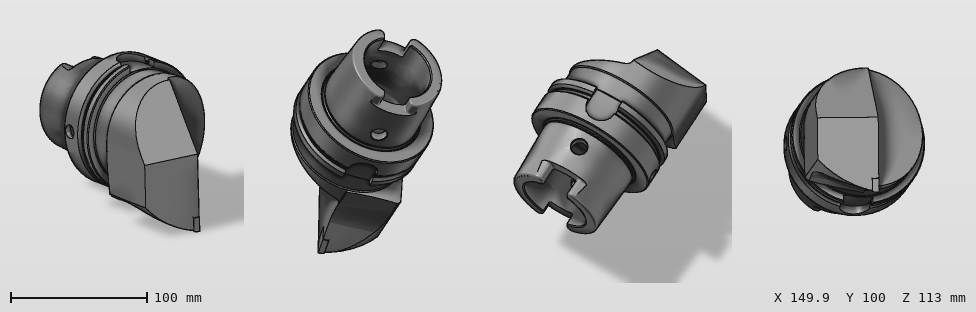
import cadquery as cq
import math


SHANK_LENGTH = 50.0
TAPER_START = 2.5
TAPER_RADIUS = 37.9
TAPER_SLOPE = 1 / 20
NOSE_ROUND = 1.8
NECK_RADIUS = 37.5
NECK_START = 1.6
NECK_END = 0.6
FACE_RECESS_RADIUS = 39.9
FACE_RECESS_DEPTH = 0.5

MOUTH_CHAMFER = 0.9
BORE_RADIUS = 26.4
BORE_DEPTH = 19.8
CLAMP_RADIUS = 30.9
CLAMP_START_X = -10.6
CLAMP_ROUND = 5.7
CAVITY_FLOOR_X = 9.0
THREAD_BORE_RADIUS = 11.4
THREAD_BORE_DEPTH = 19.5
THREAD_CHAMFER = 0.7
COOLANT_RADIUS = 6.0
DRILL_POINT_ANGLE = 118

SLOT_WIDTH = 20.1
TOP_SLOT_DEPTH = 15.3
BOTTOM_SLOT_DEPTH = 10.0
SLOT_EDGE_ROUND = 3.9
SLOT_FLOOR_ROUND = 1.6
SLOT_LIP_Z = 32.1
SLOT_LIP_SLOPE = 15

CROSS_HOLE_X = -14.8
CROSS_HOLE_RADIUS = 6.0
CROSS_HOLE_CHAMFER = 0.5

FLANGE_RADIUS = 49.99
FLANGE_LENGTH = 29.0
FLANGE_CHAMFER = 0.7
GROOVE_START = 16.6
GROOVE_END = 23.5
GROOVE_FLANK_WIDTH = 1.6
GROOVE_FLANK_DEPTH = 2.4
GROOVE_RADIUS = 46.2
GROOVE_ROUND = 0.6
KEYWAY_WIDTH = 22.0
KEYWAY_START = 5.0
KEYWAY_FLOOR = 43.9
CHIP_HOLE_X = 7.0
CHIP_HOLE_RADIUS = 5.1
CHIP_HOLE_DEPTH = 4.6

COLLAR_RADIUS = 43.6
COLLAR_ROOT_ROUND = 0.9
HEAD_START = 45.0
HEAD_RADIUS = 44.5

INSERT_TIP_X = 149.9 - SHANK_LENGTH
INSERT_TIP_Z = -(113.0 - FLANGE_RADIUS)
INSERT_EDGE = 11.5
INSERT_THICKNESS = 4.8
INSERT_ANGLE = 55
NOSE_RADIUS = 0.4
LEAD_ANGLE = 93
RELIEF_ANGLE = 7

SHOULDER_ANGLE = 15
BACK_FACE_X = 58.2
BACK_FACE_ROUND = 5.5
SLANT_TOP_X = 62.7
SLANT_END_X = 97.0
SLANT_END_Z = -4.0
HEAD_BOTTOM_Z = -46.2
RELIEF_ARC_RADIUS = 27.0
CLEARANCE_RADIUS = 75.0
CLEARANCE_Y = 11.4
CLEARANCE_Z = 11.5


def direction(angle):
    """Unit step in the X-Z plane at an angle measured from +X towards +Z."""
    return math.cos(math.radians(angle)), math.sin(math.radians(angle))


def x_cylinder(radius, x_start, x_end, y=0, z=0):
    return cq.Workplane("YZ", origin=(x_start, y, z)).circle(radius).extrude(x_end - x_start)


def tapered_prism(outline, depth):
    """Outline on the plane y = 0 carried towards -Y, its sides leaning in by the relief angle."""
    return outline.close().extrude(depth, taper=RELIEF_ANGLE)


def turned_body():
    tip_radius = TAPER_RADIUS - (SHANK_LENGTH - TAPER_START) * TAPER_SLOPE
    flank_radius = FLANGE_RADIUS - GROOVE_FLANK_DEPTH
    groove_floor_start = GROOVE_START + GROOVE_FLANK_WIDTH
    groove_floor_end = GROOVE_END - GROOVE_FLANK_WIDTH
    root = FLANGE_LENGTH + COLLAR_ROOT_ROUND
    head_step = HEAD_RADIUS - COLLAR_RADIUS
    points = [
        (-SHANK_LENGTH, 0),
        (-SHANK_LENGTH, tip_radius),
        (-TAPER_START, TAPER_RADIUS),
        (-NECK_START, NECK_RADIUS),
        (-NECK_END, NECK_RADIUS),
        (FACE_RECESS_DEPTH, NECK_RADIUS + NECK_END + FACE_RECESS_DEPTH),
        (FACE_RECESS_DEPTH, FACE_RECESS_RADIUS - FACE_RECESS_DEPTH),
        (0, FACE_RECESS_RADIUS),
        (0, FLANGE_RADIUS - FLANGE_CHAMFER),
        (FLANGE_CHAMFER, FLANGE_RADIUS),
        (GROOVE_START, FLANGE_RADIUS),
        (groove_floor_start, flank_radius),
        (groove_floor_start, GROOVE_RADIUS + GROOVE_ROUND),
        (groove_floor_start + GROOVE_ROUND, GROOVE_RADIUS),
        (groove_floor_end - GROOVE_ROUND, GROOVE_RADIUS),
        (groove_floor_end, GROOVE_RADIUS + GROOVE_ROUND),
        (groove_floor_end, flank_radius),
        (GROOVE_END, FLANGE_RADIUS),
        (FLANGE_LENGTH - FLANGE_CHAMFER, FLANGE_RADIUS),
        (FLANGE_LENGTH, FLANGE_RADIUS - FLANGE_CHAMFER),
        (FLANGE_LENGTH, COLLAR_RADIUS + COLLAR_ROOT_ROUND),
        (root, COLLAR_RADIUS),
        (HEAD_START - head_step, COLLAR_RADIUS),
        (HEAD_START, HEAD_RADIUS),
        (HEAD_START, 0),
    ]
    return cq.Workplane("XY").polyline(points).close().revolve(360, (0, 0, 0), (1, 0, 0))


def slot_cutter(depth):
    """Slot open at the nose and outwards (+Z), its walls flaring out to the taper."""
    half = SLOT_WIDTH / 2
    outer = TAPER_RADIUS + NOSE_ROUND
    slope = math.radians(SLOT_LIP_SLOPE)
    arc_start_z = SLOT_LIP_Z - SLOT_EDGE_ROUND
    lip_y = half + SLOT_EDGE_ROUND * (1 + math.sin(slope))
    lip_z = arc_start_z + SLOT_EDGE_ROUND * math.cos(slope)
    lip_end_z = lip_z - (outer - lip_y) * math.tan(slope)
    outline = (
        cq.Workplane("YZ", origin=(-SHANK_LENGTH, 0, 0))
        .moveTo(-half, 0)
        .lineTo(half, 0)
        .lineTo(half, arc_start_z)
        .radiusArc((lip_y, lip_z), SLOT_EDGE_ROUND)
        .lineTo(outer, lip_end_z)
        .lineTo(outer, outer)
        .lineTo(-outer, outer)
        .lineTo(-outer, lip_end_z)
        .lineTo(-lip_y, lip_z)
        .radiusArc((-half, arc_start_z), SLOT_EDGE_ROUND)
        .close()
    )
    cutter = outline.extrude(depth)
    return cutter.faces(">X").edges("not(<Z or >Z)").fillet(SLOT_FLOOR_ROUND)


def cut_driving_slots(body):
    bottom = slot_cutter(BOTTOM_SLOT_DEPTH).rotate((0, 0, 0), (1, 0, 0), 180)
    return body.cut(slot_cutter(TOP_SLOT_DEPTH)).cut(bottom)


def cavity():
    mouth = -SHANK_LENGTH
    thread_end = CAVITY_FLOOR_X + THREAD_BORE_DEPTH
    point_length = COOLANT_RADIUS / math.tan(math.radians(DRILL_POINT_ANGLE / 2))
    bore_points = [
        (mouth, 0),
        (mouth, BORE_RADIUS + MOUTH_CHAMFER),
        (mouth + MOUTH_CHAMFER, BORE_RADIUS),
        (mouth + BORE_DEPTH, BORE_RADIUS),
        (CLAMP_START_X, CLAMP_RADIUS),
        (CAVITY_FLOOR_X - CLAMP_ROUND, CLAMP_RADIUS),
    ]
    floor_edge = (CAVITY_FLOOR_X, CLAMP_RADIUS - CLAMP_ROUND)
    floor_points = [
        (CAVITY_FLOOR_X, THREAD_BORE_RADIUS + THREAD_CHAMFER),
        (CAVITY_FLOOR_X + THREAD_CHAMFER, THREAD_BORE_RADIUS),
        (thread_end, THREAD_BORE_RADIUS),
        (thread_end, COOLANT_RADIUS),
        (thread_end + point_length, 0),
    ]
    return (
        cq.Workplane("XY")
        .polyline(bore_points)
        .radiusArc(floor_edge, CLAMP_ROUND)
        .polyline(floor_points, includeCurrent=True)
        .close()
        .revolve(360, (0, 0, 0), (1, 0, 0))
    )


def round_nose(body):
    """Round the outer rim and slot edges of the open end, before the bore is cut."""
    return body.faces("<X").edges().fillet(NOSE_ROUND)


def cut_cross_hole(body):
    hole = (
        cq.Workplane("XY", origin=(CROSS_HOLE_X, 0, -TAPER_RADIUS))
        .circle(CROSS_HOLE_RADIUS)
        .extrude(2 * TAPER_RADIUS)
    )
    mouths = cq.selectors.BoxSelector(
        (CROSS_HOLE_X - TAPER_START - CROSS_HOLE_RADIUS, -SLOT_WIDTH, -TAPER_RADIUS),
        (CROSS_HOLE_X + TAPER_START + CROSS_HOLE_RADIUS, SLOT_WIDTH, TAPER_RADIUS),
        boundingbox=True,
    )
    return body.cut(hole).edges(mouths).edges("not %LINE").chamfer(CROSS_HOLE_CHAMFER)


def cut_keyways(body):
    round_end = KEYWAY_START + KEYWAY_WIDTH / 2
    length = FLANGE_LENGTH - round_end
    keyway = (
        cq.Workplane("XY", origin=(round_end, 0, KEYWAY_FLOOR))
        .circle(KEYWAY_WIDTH / 2)
        .extrude(FLANGE_RADIUS)
        .union(
            cq.Workplane("XY")
            .box(length, KEYWAY_WIDTH, FLANGE_RADIUS, centered=(False, True, False))
            .translate((round_end, 0, KEYWAY_FLOOR))
        )
    )
    return body.cut(keyway).cut(keyway.rotate((0, 0, 0), (1, 0, 0), 180))


def cut_chip_hole(body):
    hole = (
        cq.Workplane("XZ", origin=(CHIP_HOLE_X, CHIP_HOLE_DEPTH - FLANGE_RADIUS, 0))
        .circle(CHIP_HOLE_RADIUS)
        .extrude(FLANGE_RADIUS)
    )
    return body.cut(hole)


def nose_centre():
    return INSERT_TIP_X - NOSE_RADIUS, INSERT_TIP_Z + NOSE_RADIUS


def make_insert():
    centre_x, centre_z = nose_centre()
    up_x, up_z = direction(LEAD_ANGLE)
    back_x, back_z = direction(LEAD_ANGLE + INSERT_ANGLE)
    reach = NOSE_RADIUS / math.sin(math.radians(INSERT_ANGLE / 2))
    mid_x, mid_z = direction(LEAD_ANGLE + INSERT_ANGLE / 2)
    corner = cq.Vector(centre_x - reach * mid_x, centre_z - reach * mid_z)
    end_edge = cq.Vector(up_x, up_z) * INSERT_EDGE
    side_edge = cq.Vector(back_x, back_z) * INSERT_EDGE
    tangent = NOSE_RADIUS / math.tan(math.radians(INSERT_ANGLE / 2))
    nose_start = corner + side_edge * (tangent / INSERT_EDGE)
    nose_end = corner + end_edge * (tangent / INSERT_EDGE)
    nose_middle = (centre_x - NOSE_RADIUS * mid_x, centre_z - NOSE_RADIUS * mid_z)
    outline = (
        cq.Workplane("XZ")
        .moveTo(nose_start.x, nose_start.y)
        .threePointArc(nose_middle, (nose_end.x, nose_end.y))
        .lineTo((corner + end_edge).x, (corner + end_edge).y)
        .lineTo((corner + end_edge + side_edge).x, (corner + end_edge + side_edge).y)
        .lineTo((corner + side_edge).x, (corner + side_edge).y)
    )
    return tapered_prism(outline, INSERT_THICKNESS)


def head_relief():
    """Everything inside the slanted top, end face and underside of the cutting region."""
    tip_x, tip_z = nose_centre()
    edge_slope = 180 - LEAD_ANGLE - INSERT_ANGLE
    slope_x, slope_z = direction(-edge_slope)
    highest_z = HEAD_BOTTOM_Z + 0.6
    centre_z = highest_z - RELIEF_ARC_RADIUS
    touch_z = centre_z + RELIEF_ARC_RADIUS * slope_x
    touch_x = tip_x - (touch_z - tip_z) * slope_x / -slope_z
    centre_x = touch_x + RELIEF_ARC_RADIUS * slope_z
    hollow_start = centre_x - math.sqrt(RELIEF_ARC_RADIUS ** 2 - (HEAD_BOTTOM_Z - centre_z) ** 2)
    inner_x = HEAD_START - HEAD_RADIUS / 2
    slant = (HEAD_RADIUS - SLANT_END_Z) / (SLANT_END_X - SLANT_TOP_X)
    top_z = 1.5 * HEAD_RADIUS
    top_x = SLANT_TOP_X - (top_z - HEAD_RADIUS) / slant
    outline = (
        cq.Workplane("XZ")
        .moveTo(inner_x, HEAD_BOTTOM_Z)
        .lineTo(hollow_start, HEAD_BOTTOM_Z)
        .threePointArc((centre_x, highest_z), (touch_x, touch_z))
        .lineTo(tip_x, tip_z)
        .lineTo(SLANT_END_X, SLANT_END_Z)
        .lineTo(top_x, top_z)
        .lineTo(inner_x, top_z)
    )
    return tapered_prism(outline, HEAD_RADIUS)


def front_half_of_head():
    """The part of the head on the -Y side of the rake plane."""
    round_stock = x_cylinder(HEAD_RADIUS, HEAD_START, INSERT_TIP_X)
    cone_radius = 2 * HEAD_RADIUS
    cone_length = (cone_radius - HEAD_RADIUS) * math.tan(math.radians(SHOULDER_ANGLE))
    shoulder_stock = (
        cq.Workplane("XY")
        .polyline(
            [
                (HEAD_START, 0),
                (HEAD_START, HEAD_RADIUS),
                (HEAD_START + cone_length, cone_radius),
                (INSERT_TIP_X, cone_radius),
                (INSERT_TIP_X, 0),
            ]
        )
        .close()
        .revolve(360, (0, 0, 0), (1, 0, 0))
    )
    flat_side = (
        cq.Workplane("XY")
        .box(INSERT_TIP_X, HEAD_RADIUS, cone_radius, centered=False)
        .translate((0, -HEAD_RADIUS, -cone_radius))
    )
    clearance = x_cylinder(CLEARANCE_RADIUS, 0, INSERT_TIP_X, CLEARANCE_Y, CLEARANCE_Z)
    lower_stock = shoulder_stock.intersect(flat_side).intersect(clearance)
    return round_stock.union(lower_stock).intersect(head_relief())


def back_half_of_head():
    """The part of the head on the +Y side, running out in a sloping shoulder."""
    slope = math.tan(math.radians(SHOULDER_ANGLE))
    tangent = BACK_FACE_ROUND * math.tan(math.radians((90 - SHOULDER_ANGLE) / 2))
    round_end_x = BACK_FACE_X + tangent
    round_start = (
        BACK_FACE_X - tangent * math.sin(math.radians(SHOULDER_ANGLE)),
        tangent * math.cos(math.radians(SHOULDER_ANGLE)),
    )
    shoulder = (
        cq.Workplane("XY", origin=(0, 0, -HEAD_RADIUS))
        .moveTo(HEAD_START, 0)
        .lineTo(round_end_x, 0)
        .radiusArc(round_start, BACK_FACE_ROUND)
        .lineTo(BACK_FACE_X - HEAD_RADIUS * slope, HEAD_RADIUS)
        .lineTo(HEAD_START, HEAD_RADIUS)
        .close()
        .extrude(2 * HEAD_RADIUS)
    )
    return shoulder.intersect(x_cylinder(HEAD_RADIUS, HEAD_START, INSERT_TIP_X))


def make_holder(insert):
    body = round_nose(cut_driving_slots(cut_cross_hole(turned_body())))
    body = body.cut(cavity())
    body = cut_chip_hole(cut_keyways(body))
    body = body.union(front_half_of_head()).union(back_half_of_head())
    return body.cut(insert)


insert = make_insert()
holder = make_holder(insert)

result = cq.Compound.makeCompound([holder.val(), insert.val()])